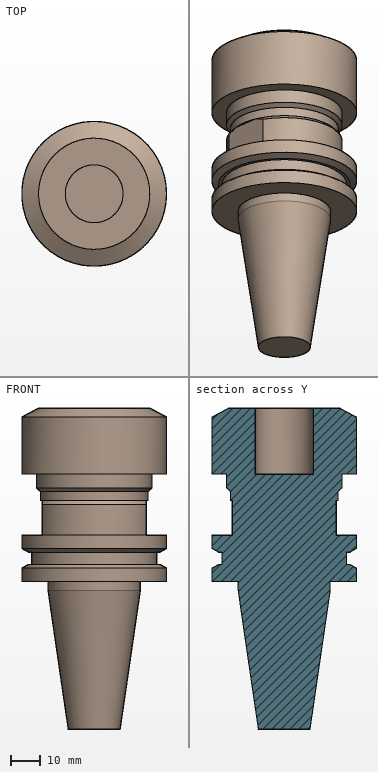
import cadquery as cq

total_height = 110.8
nut_chamfer_z = 107.7
nut_bottom_z = 88.0
neck_bottom_z = 83.3
relief_bottom_z = 78.9
flange_top_z = 67.0
flange_bottom_z = 51.0
taper_top_z = 48.0

outer_radius = 50.0 / 2
nut_face_radius = 19.2
bore_radius = 10.0
neck_radius = 19.9
relief_radius = 18.6
groove_radius = 21.6
shank_radius = 16.0

rim_height = 4.7
rim_chamfer_height = 1.3
rim_chamfer_width = 2.3

taper_per_length = 7 / 24
flat_distance = 18.0

tip_radius = shank_radius - taper_top_z * taper_per_length / 2
neck_chamfer = neck_radius - relief_radius
rim_edge_radius = outer_radius - rim_chamfer_width
upper_rim_z = flange_top_z - rim_height
lower_rim_z = flange_bottom_z + rim_height
groove_top_z = upper_rim_z - rim_chamfer_height
groove_bottom_z = lower_rim_z + rim_chamfer_height


def make_turned_body():
    """Revolve the half profile, from the taper tip up to the nut face."""
    profile = [
        (0, 0),
        (tip_radius, 0),
        (shank_radius, taper_top_z),
        (shank_radius, flange_bottom_z),
        (outer_radius, flange_bottom_z),
        (outer_radius, lower_rim_z),
        (rim_edge_radius, groove_bottom_z),
        (groove_radius, groove_bottom_z),
        (groove_radius, groove_top_z),
        (rim_edge_radius, groove_top_z),
        (outer_radius, upper_rim_z),
        (outer_radius, flange_top_z),
        (neck_radius, flange_top_z),
        (neck_radius, relief_bottom_z - neck_chamfer),
        (relief_radius, relief_bottom_z),
        (relief_radius, neck_bottom_z - neck_chamfer),
        (neck_radius, neck_bottom_z),
        (neck_radius, nut_bottom_z),
        (outer_radius, nut_bottom_z),
        (outer_radius, nut_chamfer_z),
        (nut_face_radius, total_height),
        (0, total_height),
    ]
    return cq.Workplane("XZ").polyline(profile).close().revolve(360, (0, 0), (0, 1))


def make_flat_cutter(side):
    """Block that removes the collar outside one wrench flat; side is -1 or 1."""
    depth = outer_radius - flat_distance
    return (
        cq.Workplane("XY", origin=(side * (flat_distance + depth / 2), 0, flange_top_z))
        .rect(depth, 2 * outer_radius)
        .extrude(relief_bottom_z - flange_top_z)
    )


def make_bore():
    """Blind bore through the height of the nut."""
    return (
        cq.Workplane("XY", origin=(0, 0, nut_bottom_z))
        .circle(bore_radius)
        .extrude(total_height - nut_bottom_z)
    )


result = make_turned_body().cut(make_bore())
for side in (-1, 1):
    result = result.cut(make_flat_cutter(side))